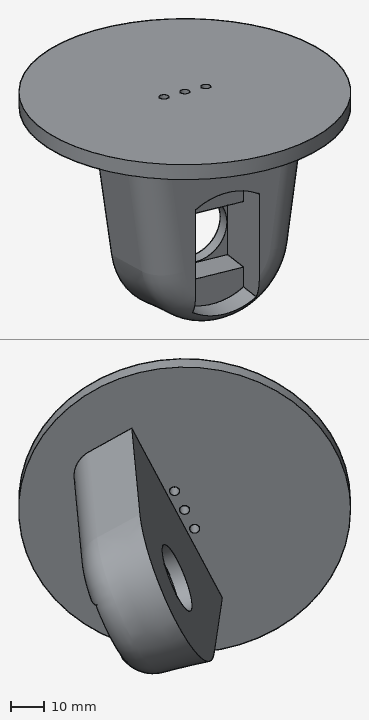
import cadquery as cq
import math

plate_diameter = 100.0
plate_thickness = 5.0
pin_hole_diameter = 3.0
pin_hole_spacing = 7.25
pin_hole_count = 3

overall_height = 70.45
lug_front_x = 2.5
lug_depth = 23.7
lug_back_x = lug_front_x + lug_depth
lug_end_radius = 27.0
flank_angle = 8.0
draft_angle = 8.0
back_fillet_radius = 10.0
axis_z = lug_end_radius - overall_height

bore_diameter = 21.5
front_wall = 4.2
recess_width = 22.0
recess_height = recess_width
recess_depth = 9.8
slot_end_radius = 20.8
recess_front_x = lug_front_x + front_wall
slot_front_x = recess_front_x + recess_depth


def make_plate():
    plate = cq.Workplane("XY").circle(plate_diameter / 2).extrude(-plate_thickness)
    holes = (
        cq.Workplane("XY")
        .rarray(1, pin_hole_spacing, 1, pin_hole_count)
        .circle(pin_hole_diameter / 2)
        .extrude(-plate_thickness)
    )
    return plate.cut(holes)


def make_lug():
    outline_top_z = lug_end_radius
    tilt = math.radians(flank_angle)
    tangent_y = lug_end_radius * math.cos(tilt)
    tangent_z = axis_z - lug_end_radius * math.sin(tilt)
    top_y = tangent_y + (outline_top_z - tangent_z) * math.tan(tilt)
    lug = (
        cq.Workplane("YZ", origin=(lug_front_x, 0, 0))
        .moveTo(-top_y, outline_top_z)
        .lineTo(-tangent_y, tangent_z)
        .threePointArc((0, -overall_height), (tangent_y, tangent_z))
        .lineTo(top_y, outline_top_z)
        .close()
        .extrude(lug_depth, taper=draft_angle)
    )
    lug = lug.faces(">X").edges("not(|Y and >Z)").fillet(back_fillet_radius)
    return lug.intersect(
        cq.Workplane("XY", origin=(0, 0, -plate_thickness))
        .rect(plate_diameter, plate_diameter)
        .extrude(-overall_height)
    )


def make_bore():
    return (
        cq.Workplane("YZ", origin=(lug_front_x, 0, axis_z))
        .circle(bore_diameter / 2)
        .extrude(lug_depth)
    )


def make_recess():
    pocket = (
        cq.Workplane("YZ", origin=(recess_front_x, 0, axis_z))
        .rect(recess_width, recess_height)
        .extrude(lug_back_x - recess_front_x)
    )
    slot_length = lug_back_x - slot_front_x
    slot = (
        cq.Workplane("YZ", origin=(slot_front_x, 0, axis_z))
        .circle(slot_end_radius)
        .extrude(slot_length)
    )
    strip = (
        cq.Workplane("YZ", origin=(slot_front_x, 0, axis_z))
        .rect(recess_width, 2 * slot_end_radius)
        .extrude(slot_length)
    )
    return pocket.union(slot.intersect(strip))


lug = make_lug().cut(make_bore()).cut(make_recess())
result = make_plate().union(lug)